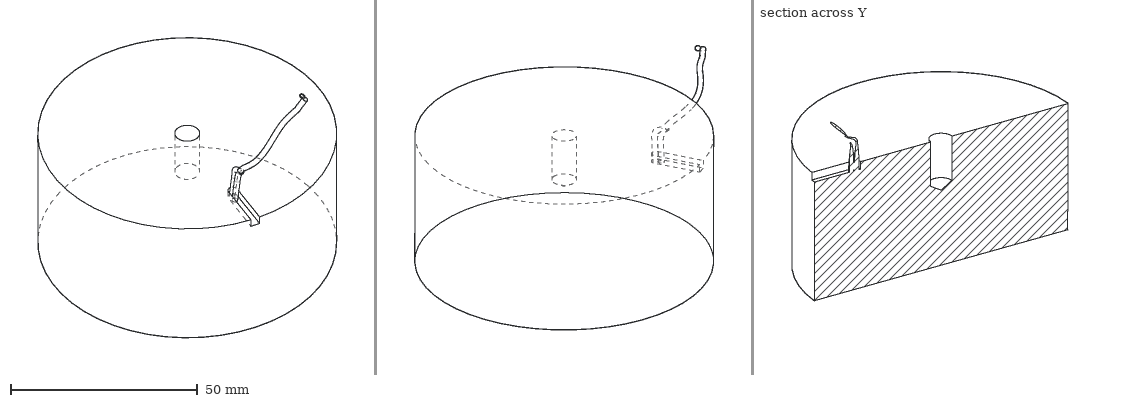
import cadquery as cq
import math

body_diameter = 80.0
body_height = 37.9

hole_diameter = 6.65
hole_depth = 2 * hole_diameter
drill_point_angle = 118

slot_width = 2.6
slot_depth = 2.25
slot_end_x = 26.8
slot_floor_z = body_height - slot_depth

wire_diameter = 1.55
wire_spacing = 1.6
wire_root_y = -0.2
straight_top_y = 0.6
straight_top_z = 42.25
root_embed = 0.3
outer_wire_x = 28.25
inner_wire_x = outer_wire_x - wire_spacing

outer_wire_path = [
    (28.9, 0.8, 45.0),
    (33.4, 0.7, 50.7),
    (37.8, 1.3, 55.6),
    (40.5, 2.8, 60.9),
    (41.9, 5.2, 66.8),
    (42.85, 7.8, 71.4),
    (44.6, 10.2, 75.3),
    (45.6, 12.1, 79.05),
]
inner_wire_path = [
    (27.0, 0.7, 44.9),
    (30.2, 0.8, 46.7),
]
merge_direction = cq.Vector(1, 0, 1)

end_disc_thickness = 0.3
end_disc_offset = 1.5
end_direction = cq.Vector(0.25, 0.45, 0.85)


def make_body():
    return cq.Workplane("XY").circle(body_diameter / 2).extrude(body_height)


def make_hole():
    hole_radius = hole_diameter / 2
    point_height = hole_radius / math.tan(math.radians(drill_point_angle / 2))
    shoulder_z = body_height - hole_depth
    half_section = [
        (0, body_height),
        (hole_radius, body_height),
        (hole_radius, shoulder_z),
        (0, shoulder_z - point_height),
    ]
    return cq.Workplane("XZ").polyline(half_section).close().revolve(360, (0, 0), (0, 1))


def make_slot():
    slot_plane = cq.Workplane("XY", origin=(slot_end_x, 0, slot_floor_z))
    round_end = slot_plane.circle(slot_width / 2).extrude(slot_depth)
    channel_length = body_diameter / 2 - slot_end_x
    channel = slot_plane.center(channel_length / 2, 0).rect(channel_length, slot_width).extrude(slot_depth)
    return round_end.union(channel)


def make_wire(root_x, upper_path, final_direction):
    """Straight leaning foot followed by a smooth curve through upper_path."""
    root = cq.Vector(root_x, wire_root_y, slot_floor_z - root_embed)
    straight_top = cq.Vector(root_x, straight_top_y, straight_top_z)
    foot_direction = straight_top - root
    foot = cq.Edge.makeLine(root, straight_top)
    points = [straight_top] + [cq.Vector(*point) for point in upper_path]
    curve = cq.Edge.makeSpline(points, tangents=[foot_direction, final_direction])
    centreline = cq.Wire.assembleEdges([foot, curve])
    root_plane = cq.Plane(origin=root, normal=foot_direction)
    return cq.Workplane(root_plane).circle(wire_diameter / 2).sweep(cq.Workplane(centreline))


def make_end_disc():
    tip = cq.Vector(*outer_wire_path[-1])
    centre = tip - cq.Vector(end_disc_offset, 0, 0)
    disc_plane = cq.Plane(origin=centre, normal=end_direction)
    return cq.Workplane(disc_plane).circle(wire_diameter / 2).extrude(-end_disc_thickness)


result = make_body().cut(make_hole()).cut(make_slot())
result = result.union(make_wire(outer_wire_x, outer_wire_path, end_direction))
result = result.union(make_wire(inner_wire_x, inner_wire_path, merge_direction))
result = result.union(make_end_disc())